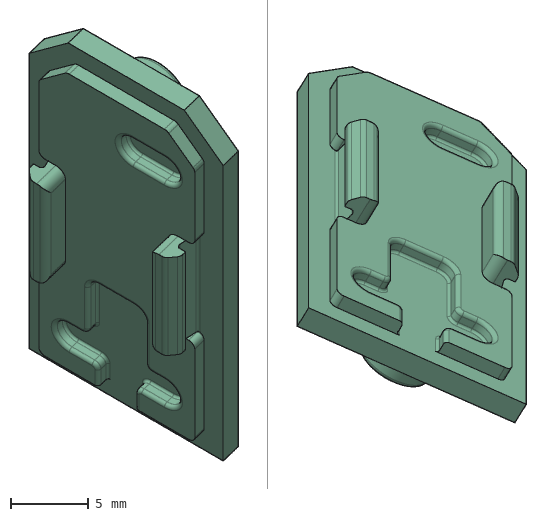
import cadquery as cq
import math

plate_width = 15.9
plate_height = 31.9
plate_thickness = 1.6
plate_chamfer = 3.2
overlap = plate_thickness / 2

peg_diameter = 5.0
peg_length = 1.82
peg_count = 4
peg_pitch = plate_height / peg_count
peg_rim_radius = 0.3

panel_margin = 1.55
panel_thickness = 1.0
panel_corner_radius = 0.5
panel_chamfer = plate_chamfer - panel_margin * (2 - math.sqrt(2))
panel_half_width = plate_width / 2 - panel_margin
panel_bottom = panel_margin
panel_height = plate_height - 2 * panel_margin

pocket_rim_radius = 0.3
pocket_floor_radius = 0.2
slot_x = 2.6
slot_z = 26.38
slot_spacing = 2.55
slot_width = 2.4
arm_z = 4.8
arm_end_x = slot_x + slot_spacing / 2
stem_width = 4.72
stem_top = 11.5
stem_top_radius = 1.0
neck_width = 3.03
pocket_corner_radius = 0.5

hook_z = plate_height / 2
hook_length = 9.5
hook_inner_x = 4.2
hook_foot_x = 5.87
hook_throat_x = 5.45
barb_x = 6.22
hook_reach = 3.0
barb_thickness = 1.25
barb_bevel = 0.73
hook_round = 0.5
barb_root_round = 0.25
hook_foot_round = 0.2
hook_end_radius = 0.8


def front_block(width, bottom, height, depth, x=0):
    """Block from inside the plate to the given depth in front of it."""
    return (
        cq.Workplane("XY")
        .box(width, depth + overlap, height, centered=(True, False, False))
        .translate((x, -depth, bottom))
    )


def make_plate():
    slab = cq.Workplane("XY").box(
        plate_width, plate_thickness, plate_height, centered=(True, False, False)
    )
    return slab.edges("|Y and >Z").chamfer(plate_chamfer)


def make_peg(z):
    return (
        cq.Workplane("XZ", origin=(0, plate_thickness, z))
        .circle(peg_diameter / 2)
        .extrude(-peg_length)
        .faces(">Y")
        .edges()
        .fillet(peg_rim_radius)
    )


def slot_cutter(x, z, spacing):
    return (
        cq.Workplane("XZ", origin=(x, 0, z))
        .slot2D(spacing + slot_width, slot_width)
        .extrude(panel_thickness)
    )


def pocket_block(width, bottom, top):
    return (
        cq.Workplane("XY")
        .box(width, panel_thickness, top - bottom, centered=(True, False, False))
        .translate((0, -panel_thickness, bottom))
    )


def make_keyhole_cutter():
    """Wide stem above a cross slot, with a neck that runs out of the panel's bottom edge."""
    stem = pocket_block(stem_width, arm_z, stem_top).edges("|Y and >Z").fillet(stem_top_radius)
    neck = pocket_block(neck_width, 0, arm_z)
    cutter = slot_cutter(0, arm_z, 2 * arm_end_x).union(stem).union(neck)
    for z in (arm_z - slot_width / 2, arm_z + slot_width / 2):
        half_width = neck_width / 2 if z < arm_z else stem_width / 2
        for x in (-half_width, half_width):
            corner = cq.selectors.NearestToPointSelector((x, -panel_thickness / 2, z))
            cutter = cutter.edges(corner).fillet(pocket_corner_radius)
    return cutter


def make_panel():
    panel = front_block(2 * panel_half_width, panel_bottom, panel_height, panel_thickness)
    panel = panel.edges("|Y and >Z").chamfer(panel_chamfer)

    notch_width = 2 * (panel_half_width - hook_throat_x)
    for x in (-panel_half_width, panel_half_width):
        notch = front_block(notch_width, hook_z - hook_length / 2, hook_length, panel_thickness, x)
        panel = panel.cut(notch)
    panel = panel.edges("|Y and (<X or >X or >Z)").fillet(panel_corner_radius)

    for cutter in (slot_cutter(slot_x, slot_z, slot_spacing), make_keyhole_cutter()):
        panel = panel.cut(cutter.faces(">Y").edges().fillet(pocket_floor_radius))

    rim_half_width = arm_end_x + slot_width / 2 + pocket_rim_radius
    rims = cq.selectors.BoxSelector(
        (-rim_half_width, -panel_thickness - overlap, panel_bottom + pocket_rim_radius),
        (rim_half_width, 0, slot_z + slot_width),
    )
    return panel.faces("<Y").edges(rims).fillet(pocket_rim_radius)


def make_hook():
    """Hook on the +X side, with its barb pointing outwards."""
    barb_y = barb_thickness - hook_reach
    foot = (hook_foot_x, 0)
    barb_root = (hook_throat_x, barb_y)
    barb_corner = (barb_x, barb_bevel - hook_reach)
    tip_outer = (barb_x - barb_bevel, -hook_reach)
    tip_inner = (hook_inner_x, -hook_reach)
    outline = [
        (hook_inner_x, overlap),
        (panel_half_width, overlap),
        (panel_half_width, 0),
        foot,
        barb_root,
        (barb_x, barb_y),
        barb_corner,
        tip_outer,
        tip_inner,
    ]
    hook = (
        cq.Workplane("XY", origin=(0, 0, hook_z))
        .polyline(outline)
        .close()
        .extrude(hook_length / 2, both=True)
    )
    rounds = [
        (foot, hook_foot_round),
        (barb_root, barb_root_round),
        (barb_corner, hook_round),
        (tip_outer, hook_round),
        (tip_inner, hook_round),
    ]
    for (x, y), radius in rounds:
        edge = cq.selectors.NearestToPointSelector((x, y, hook_z))
        hook = hook.edges("|Z").edges(edge).fillet(radius)

    end_envelope = front_block(
        panel_half_width - hook_inner_x,
        hook_z - hook_length / 2,
        hook_length,
        hook_reach,
        (panel_half_width + hook_inner_x) / 2,
    )
    return hook.intersect(end_envelope.edges("|Y and <X").fillet(hook_end_radius))


hook = make_hook()
result = make_plate().union(make_panel()).union(hook).union(hook.mirror("YZ"))
for index in range(peg_count):
    result = result.union(make_peg((index + 0.5) * peg_pitch))
result = result.clean()